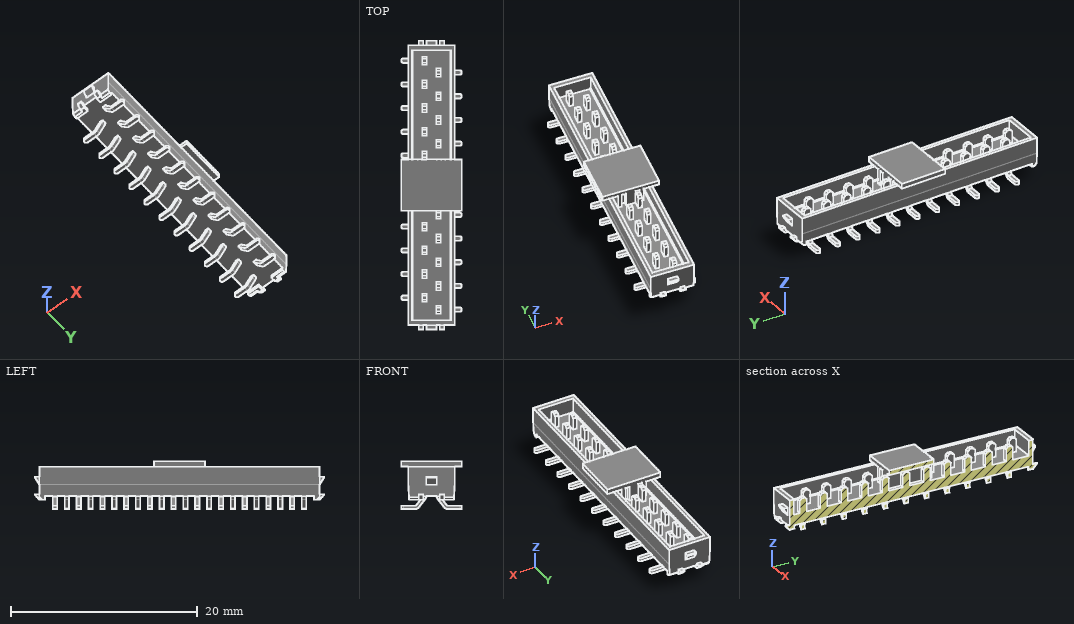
import cadquery as cq
import math

body_length = 30.0
body_width = 5.0
body_top = 4.55
body_bottom = 1.4
parting_height = 2.65
base_half_width = 2.41

foot_bottom = 1.0
foot_length = 0.6
foot_gap = 2.2
foot_bevel = 0.3

cavity_width = 4.2
cavity_length = 28.9
cavity_floor = 2.75
ledge_width = 0.1
ledge_height = 0.1

end_reach = 0.485
latch_width = 1.1
latch_top = 3.5
latch_tip_height = 0.12
latch_bottom = 2.6
latch_embed = 0.2
hook_width = 0.5
hook_offset = 1.125
hook_top = 1.62
hook_tip_height = 0.1

contacts_per_row = 11
stagger = 1.27
row_offset = 0.75
blade_thickness = 0.43
blade_width = 0.88
blade_top = 4.45
blade_bevel_run = 0.24
blade_bevel_rise = 0.25

lead_width = 0.5
lead_reach = 3.25
lead_thickness = 0.38
heel_bottom = 1.5
heel_top = 1.68
slope_angle = math.radians(52)
shank_inner = 0.5
shank_outer = 0.95
shank_top = 1.8
heel_radius = 0.5
knee_radius = 0.85

cap_width = 6.5
cap_length = 5.5
cap_thickness = 0.6
cap_leg_span = 2.95
cap_centre_leg_width = 1.08
cap_side_leg_width = 0.45


def box(x_start, x_end, y_start, y_end, z_start, z_end):
    """Axis-aligned block between the given limits."""
    size = (x_end - x_start, y_end - y_start, z_end - z_start)
    return cq.Workplane("XY").box(*size, centered=False).translate((x_start, y_start, z_start))


def across_width(points, width):
    """Extrude a (y, z) outline symmetrically about X = 0."""
    return cq.Workplane("YZ").polyline(points).close().extrude(width / 2, both=True)


def along_length(points, length):
    """Extrude an (x, z) outline symmetrically about Y = 0."""
    return cq.Workplane("XZ").polyline(points).close().extrude(length / 2, both=True)


def on_both_ends(shape):
    return shape.union(shape.mirror("XZ"))


def make_housing():
    half_width = body_width / 2
    half_length = body_length / 2
    housing = along_length(
        [
            (-half_width, body_top),
            (half_width, body_top),
            (half_width, parting_height),
            (base_half_width, foot_bottom),
            (-base_half_width, foot_bottom),
            (-half_width, parting_height),
        ],
        body_length,
    )

    bevel = across_width(
        [
            (half_length, foot_bottom),
            (half_length, foot_bottom + foot_bevel),
            (half_length - foot_bevel, foot_bottom),
        ],
        body_width,
    )
    housing = housing.cut(on_both_ends(bevel))

    inner_end = half_length - foot_length
    housing = housing.cut(box(-half_width, half_width, -inner_end, inner_end, foot_bottom, body_bottom))
    foot_inner = foot_gap / 2
    housing = housing.cut(box(-foot_inner, foot_inner, -half_length, half_length, foot_bottom, body_bottom))

    half_cavity = cavity_width / 2
    half_floor = half_cavity - ledge_width
    cavity_end = cavity_length / 2
    ledge_top = cavity_floor + ledge_height
    housing = housing.cut(box(-half_cavity, half_cavity, -cavity_end, cavity_end, ledge_top, body_top))
    return housing.cut(box(-half_floor, half_floor, -cavity_end, cavity_end, cavity_floor, ledge_top))


def make_latches():
    end = body_length / 2
    latch = across_width(
        [
            (end - latch_embed, latch_top),
            (end + end_reach, latch_top),
            (end + end_reach, latch_top - latch_tip_height),
            (end, latch_bottom),
            (end - latch_embed, latch_bottom),
        ],
        latch_width,
    )
    return on_both_ends(latch)


def make_hooks():
    end = body_length / 2
    hook = across_width(
        [
            (end - foot_length, hook_top),
            (end + end_reach, hook_top),
            (end + end_reach, hook_top - hook_tip_height),
            (end, foot_bottom),
            (end - foot_length, foot_bottom),
        ],
        hook_width,
    )
    pair = hook.translate((hook_offset, 0, 0)).union(hook.translate((-hook_offset, 0, 0)))
    return on_both_ends(pair)


def make_lead_plan():
    """Plan shape of a lead pointing along +X, with a fully rounded tip."""
    half_width = lead_width / 2
    return (
        cq.Workplane("XY")
        .moveTo(0, -half_width)
        .lineTo(lead_reach - half_width, -half_width)
        .threePointArc((lead_reach, 0), (lead_reach - half_width, half_width))
        .lineTo(0, half_width)
        .close()
        .extrude(shank_top)
    )


def make_contact():
    """Contact of the +X row, centred on Y = 0."""
    half_blade = blade_width / 2
    flat_half = half_blade - blade_bevel_run
    blade = across_width(
        [
            (-half_blade, body_bottom),
            (-half_blade, blade_top - blade_bevel_rise),
            (-flat_half, blade_top),
            (flat_half, blade_top),
            (half_blade, blade_top - blade_bevel_rise),
            (half_blade, body_bottom),
        ],
        blade_thickness,
    ).translate((row_offset, 0, 0))

    slope = math.tan(slope_angle)
    knee_inner = slope * (heel_bottom - shank_inner)
    knee_outer = lead_thickness + slope * (heel_top - shank_outer)
    lead = along_length(
        [
            (lead_reach, 0),
            (heel_bottom, 0),
            (shank_inner, knee_inner),
            (shank_inner, shank_top),
            (shank_outer, shank_top),
            (shank_outer, knee_outer),
            (heel_top, lead_thickness),
            (lead_reach, lead_thickness),
        ],
        lead_width,
    )
    heel_edge = cq.selectors.NearestToPointSelector((heel_bottom, 0, 0))
    knee_edge = cq.selectors.NearestToPointSelector((shank_inner, 0, knee_inner))
    lead = lead.edges(heel_edge).fillet(heel_radius)
    lead = lead.edges(knee_edge).fillet(knee_radius)
    return blade.union(lead.intersect(make_lead_plan()))


def add_contacts(part):
    right_contact = make_contact()
    left_contact = right_contact.mirror("YZ")
    first_y = -(2 * contacts_per_row - 1) * stagger / 2
    for index in range(contacts_per_row):
        right_y = first_y + 2 * stagger * index
        part = part.union(right_contact.translate((0, right_y, 0)))
        part = part.union(left_contact.translate((0, right_y + stagger, 0)))
    return part


def make_cap():
    half_width = cap_width / 2
    half_length = cap_length / 2
    plate = box(-half_width, half_width, -half_length, half_length, body_top, body_top + cap_thickness)

    leg_limits = [
        (-cap_leg_span / 2, -cap_leg_span / 2 + cap_side_leg_width),
        (-cap_centre_leg_width / 2, cap_centre_leg_width / 2),
        (cap_leg_span / 2 - cap_side_leg_width, cap_leg_span / 2),
    ]
    cap = plate
    for leg_start, leg_end in leg_limits:
        cap = cap.union(box(leg_start, leg_end, -half_length, half_length, cavity_floor, body_top))
    return cap


housing = make_housing().union(make_latches()).union(make_hooks())
result = add_contacts(housing).union(make_cap())